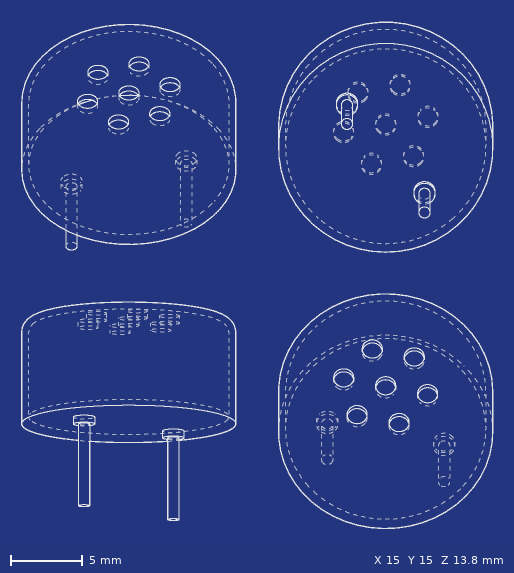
import cadquery as cq

body_diameter = 15.0
body_height = 7.5
top_edge_radius = 1.0
wall_thickness = 0.5

hole_diameter = 1.41
hole_ring_radius = 3.0
ring_hole_count = 6
first_hole_angle = 90.0

overall_height = 13.8
pin_spacing = 8.35
pin_diameter = 0.8
collar_diameter = 1.5
collar_height = 0.5
pin_length = overall_height - body_height


def make_housing():
    outside = cq.Workplane("XY").circle(body_diameter / 2).extrude(body_height)
    outside = outside.faces(">Z").edges().fillet(top_edge_radius)
    cavity = (
        cq.Workplane("XY")
        .workplane(offset=wall_thickness)
        .circle(body_diameter / 2 - wall_thickness)
        .extrude(body_height - 2 * wall_thickness)
    )
    cavity = cavity.faces(">Z").edges().fillet(top_edge_radius - wall_thickness)
    return outside.cut(cavity)


def make_sound_holes():
    hole_floor = cq.Workplane("XY").workplane(offset=body_height - wall_thickness)
    centre_hole = hole_floor.circle(hole_diameter / 2).extrude(wall_thickness)
    ring_holes = (
        hole_floor.polarArray(hole_ring_radius, first_hole_angle, 360, ring_hole_count)
        .circle(hole_diameter / 2)
        .extrude(wall_thickness)
    )
    return centre_hole.union(ring_holes)


def make_pin(y):
    underside = cq.Workplane("XY").center(0, y)
    collar = underside.circle(collar_diameter / 2).extrude(-collar_height)
    wire = underside.circle(pin_diameter / 2).extrude(-pin_length)
    return collar.union(wire)


result = make_housing().cut(make_sound_holes())
for side in (-1, 1):
    result = result.union(make_pin(side * pin_spacing / 2))